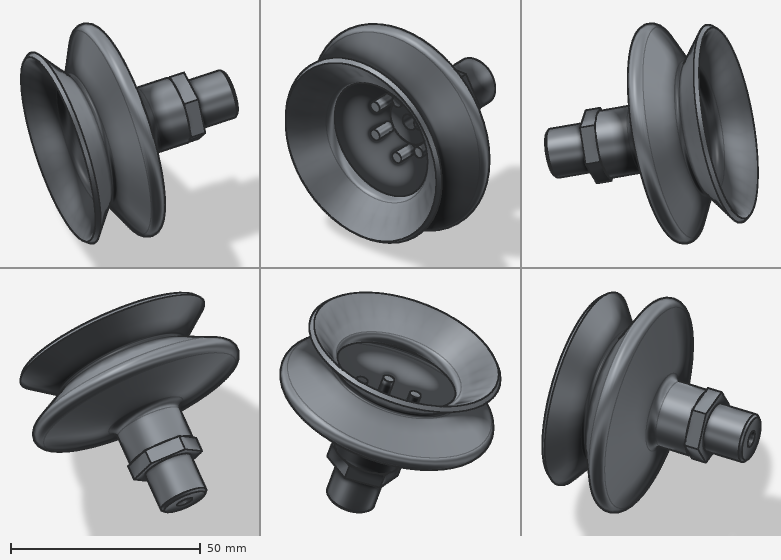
import cadquery as cq
import math


FITTING_BOTTOM_Y = 20.35
HEX_BOTTOM_Y = 34.05
HEX_HEIGHT = 4.0
HEX_ACROSS_FLATS = 17.0
FITTING_TOP_Y = 49.0
SHANK_RADIUS = 6.95
SHANK_CHAMFER_WIDTH = 0.55
SHANK_CHAMFER_HEIGHT = 0.75
SPIGOT_RADIUS = 6.6
SPIGOT_CHAMFER = 0.7
AIR_HOLE_RADIUS = 2.25

WALL = 1.55
COLLAR_RADIUS = 9.0
COLLAR_FILLET = 2.2
OUTER_RADIUS = 29.5
BULGE_ROUND = 2.35
BULGE_Y = 16.8
WAIST_RADIUS = 18.0
WAIST_ROUND = 0.75
WAIST_Y = 8.5
SHOULDER_ANGLE = math.radians(13.5)
LIP_ANGLE = math.radians(39)
CEILING_BORE_Y = FITTING_BOTTOM_Y + SHANK_CHAMFER_HEIGHT

PIN_COUNT = 6
PIN_RADIUS = 1.55
PIN_CIRCLE_RADIUS = 8.5
FIRST_PIN_ANGLE = 90
PIN_TIP_Y = 15.1
PIN_EMBED = 0.6


def on_circle(center, radius, angle):
    """Point on a circle, with the angle in radians from the radial direction."""
    return (center[0] + radius * math.cos(angle), center[1] + radius * math.sin(angle))


def revolve_about_y(profile):
    return profile.close().revolve(360, (0, 0, 0), (0, 1, 0))


def make_cup_shell():
    bulge_center = (OUTER_RADIUS - BULGE_ROUND, BULGE_Y)
    waist_center = (WAIST_RADIUS + WAIST_ROUND, WAIST_Y)
    inner_bulge_round = BULGE_ROUND - WALL
    inner_waist_round = WAIST_ROUND + WALL

    radial_step = bulge_center[0] - waist_center[0]
    axial_step = bulge_center[1] - waist_center[1]
    center_distance = math.hypot(radial_step, axial_step)
    bellows_angle = (math.atan2(axial_step, radial_step)
                     - math.asin((BULGE_ROUND + WAIST_ROUND) / center_distance))

    ceiling_radial_step = bulge_center[0] - SHANK_RADIUS
    ceiling_axial_step = CEILING_BORE_Y - BULGE_Y
    ceiling_angle = (math.atan2(ceiling_axial_step, ceiling_radial_step)
                     - math.asin(inner_bulge_round / math.hypot(ceiling_radial_step, ceiling_axial_step)))

    shoulder_normal = math.pi / 2 - SHOULDER_ANGLE
    ceiling_normal = math.pi / 2 - ceiling_angle
    bulge_normal = bellows_angle - math.pi / 2
    waist_normal = bellows_angle + math.pi / 2
    lip_normal = 3 * math.pi / 2 - LIP_ANGLE

    shoulder_end = on_circle(bulge_center, BULGE_ROUND, shoulder_normal)
    fillet_center_radius = COLLAR_RADIUS + COLLAR_FILLET
    shoulder_start_radius = fillet_center_radius - COLLAR_FILLET * math.sin(SHOULDER_ANGLE)
    shoulder_rise = (shoulder_end[0] - shoulder_start_radius) * math.tan(SHOULDER_ANGLE)
    shoulder_start = (shoulder_start_radius, shoulder_end[1] + shoulder_rise)
    fillet_center = (fillet_center_radius,
                     shoulder_start[1] + COLLAR_FILLET * math.cos(SHOULDER_ANGLE))
    fillet_mid_angle = (math.pi + 3 * math.pi / 2 - SHOULDER_ANGLE) / 2

    inner_lip_start = on_circle(waist_center, inner_waist_round, lip_normal)
    rim_inner = (inner_lip_start[0] + inner_lip_start[1] / math.tan(LIP_ANGLE), 0)
    rim_outer = (rim_inner[0] + WALL * math.sin(LIP_ANGLE), WALL * math.cos(LIP_ANGLE))

    profile = (
        cq.Workplane("XY")
        .moveTo(SHANK_RADIUS, HEX_BOTTOM_Y)
        .lineTo(COLLAR_RADIUS, HEX_BOTTOM_Y)
        .lineTo(COLLAR_RADIUS, fillet_center[1])
        .threePointArc(on_circle(fillet_center, COLLAR_FILLET, fillet_mid_angle), shoulder_start)
        .lineTo(*shoulder_end)
        .threePointArc((OUTER_RADIUS, BULGE_Y), on_circle(bulge_center, BULGE_ROUND, bulge_normal))
        .lineTo(*on_circle(waist_center, WAIST_ROUND, waist_normal))
        .threePointArc((WAIST_RADIUS, WAIST_Y), on_circle(waist_center, WAIST_ROUND, lip_normal))
        .lineTo(*rim_outer)
        .lineTo(*rim_inner)
        .lineTo(*inner_lip_start)
        .threePointArc((WAIST_RADIUS - WALL, WAIST_Y),
                       on_circle(waist_center, inner_waist_round, waist_normal))
        .lineTo(*on_circle(bulge_center, inner_bulge_round, bulge_normal))
        .threePointArc((OUTER_RADIUS - WALL, BULGE_Y),
                       on_circle(bulge_center, inner_bulge_round, ceiling_normal))
        .lineTo(SHANK_RADIUS, CEILING_BORE_Y)
    )
    return revolve_about_y(profile)


def make_support_pins():
    pin_length = CEILING_BORE_Y + PIN_EMBED - PIN_TIP_Y
    return (
        cq.Workplane("XZ", origin=(0, PIN_TIP_Y, 0))
        .polarArray(PIN_CIRCLE_RADIUS, FIRST_PIN_ANGLE, 360, PIN_COUNT)
        .circle(PIN_RADIUS)
        .extrude(-pin_length)
    )


def make_shank_bore():
    return (
        cq.Workplane("XZ")
        .circle(SHANK_RADIUS)
        .extrude(-HEX_BOTTOM_Y)
    )


def make_cup():
    return make_cup_shell().union(make_support_pins()).cut(make_shank_bore())


def make_fitting():
    turned_profile = (
        cq.Workplane("XY")
        .moveTo(0, FITTING_BOTTOM_Y)
        .lineTo(SHANK_RADIUS - SHANK_CHAMFER_WIDTH, FITTING_BOTTOM_Y)
        .lineTo(SHANK_RADIUS, FITTING_BOTTOM_Y + SHANK_CHAMFER_HEIGHT)
        .lineTo(SHANK_RADIUS, HEX_BOTTOM_Y)
        .lineTo(SPIGOT_RADIUS, HEX_BOTTOM_Y)
        .lineTo(SPIGOT_RADIUS, FITTING_TOP_Y - SPIGOT_CHAMFER)
        .lineTo(SPIGOT_RADIUS - SPIGOT_CHAMFER, FITTING_TOP_Y)
        .lineTo(0, FITTING_TOP_Y)
    )
    hex_across_corners = HEX_ACROSS_FLATS / math.cos(math.pi / 6)
    hexagon = (
        cq.Workplane("XZ", origin=(0, HEX_BOTTOM_Y, 0))
        .polygon(6, hex_across_corners)
        .extrude(-HEX_HEIGHT)
    )
    air_hole = cq.Workplane("XZ").circle(AIR_HOLE_RADIUS).extrude(-FITTING_TOP_Y)
    return revolve_about_y(turned_profile).union(hexagon).cut(air_hole)


cup = make_cup()
fitting = make_fitting()

result = cq.Compound.makeCompound([cup.solids().val(), fitting.solids().val()])